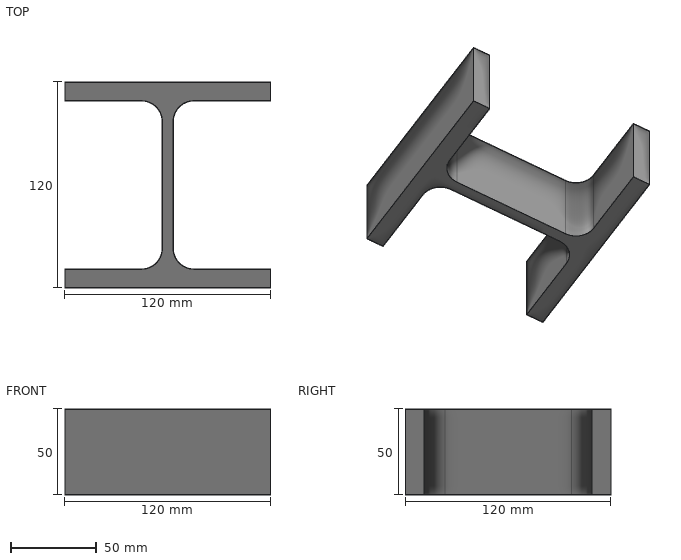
import cadquery as cq

section_depth = 120.0
flange_width = 120.0
flange_thickness = 11.0
web_thickness = 6.5
root_radius = 12.0
beam_length = 50.0


def make_flange(side):
    """Flange plate on the +Y (side=1) or -Y (side=-1) end of the web."""
    center_y = side * (section_depth - flange_thickness) / 2
    return (
        cq.Workplane("XY")
        .center(0, center_y)
        .rect(flange_width, flange_thickness)
        .extrude(beam_length)
    )


def make_web():
    """Thin plate joining the inner faces of the two flanges."""
    web_depth = section_depth - 2 * flange_thickness
    return cq.Workplane("XY").rect(web_thickness, web_depth).extrude(beam_length)


def round_web_roots(beam):
    """Fillet the four inside corners where the web meets the flanges."""
    inner_half_depth = section_depth / 2 - flange_thickness
    root_corners = [
        (x_side * web_thickness / 2, y_side * inner_half_depth, beam_length / 2)
        for x_side in (-1, 1)
        for y_side in (-1, 1)
    ]
    for corner in root_corners:
        root_edge = cq.selectors.NearestToPointSelector(corner)
        beam = beam.edges("|Z").edges(root_edge).fillet(root_radius)
    return beam


beam = make_web().union(make_flange(1)).union(make_flange(-1))
result = round_web_roots(beam)